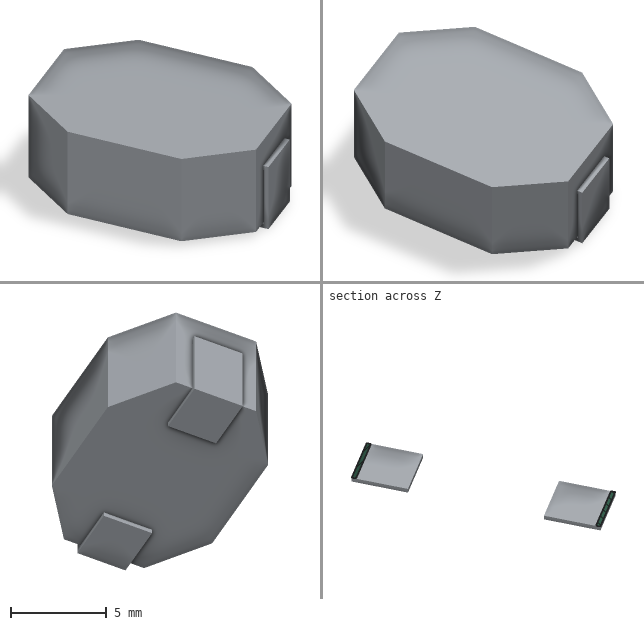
import cadquery as cq

overall_length = 13.56
overall_height = 5.5
housing_length = 12.95
housing_width = 9.4
standoff = 0.33
terminal_width = 2.82
terminal_height = 3.9
foot_length = 3.08
strip_thickness = 0.26

half_length = overall_length / 2
housing_height = overall_height - standoff
corner_cut_x = housing_length / 4
corner_cut_y = housing_width / 4


def make_housing():
    """Eight-sided block with its four vertical corners cut off."""
    x_outer = housing_length / 2
    y_outer = housing_width / 2
    x_flat = x_outer - corner_cut_x
    y_flat = y_outer - corner_cut_y
    outline = [
        (x_outer, -y_flat),
        (x_outer, y_flat),
        (x_flat, y_outer),
        (-x_flat, y_outer),
        (-x_outer, y_flat),
        (-x_outer, -y_flat),
        (-x_flat, -y_outer),
        (x_flat, -y_outer),
    ]
    return (
        cq.Workplane("XY")
        .workplane(offset=standoff)
        .polyline(outline)
        .close()
        .extrude(housing_height)
    )


def make_terminal(side):
    """Bent strip at one end: a foot, an upright and a short top tab touching the housing.

    side is +1 for the +X end and -1 for the -X end.
    """
    x_outer = side * half_length
    x_inner = side * (half_length - strip_thickness)
    x_foot_end = side * (half_length - foot_length)
    x_housing = side * housing_length / 2
    z_tab_bottom = terminal_height - strip_thickness
    profile = [
        (x_outer, 0),
        (x_outer, terminal_height),
        (x_housing, terminal_height),
        (x_housing, z_tab_bottom),
        (x_inner, z_tab_bottom),
        (x_inner, strip_thickness),
        (x_foot_end, strip_thickness),
        (x_foot_end, 0),
    ]
    return (
        cq.Workplane("XZ")
        .polyline(profile)
        .close()
        .extrude(terminal_width / 2, both=True)
    )


housing = make_housing()
terminals = [make_terminal(side) for side in (-1, 1)]

result = cq.Compound.makeCompound([housing.val(), *[terminal.val() for terminal in terminals]])